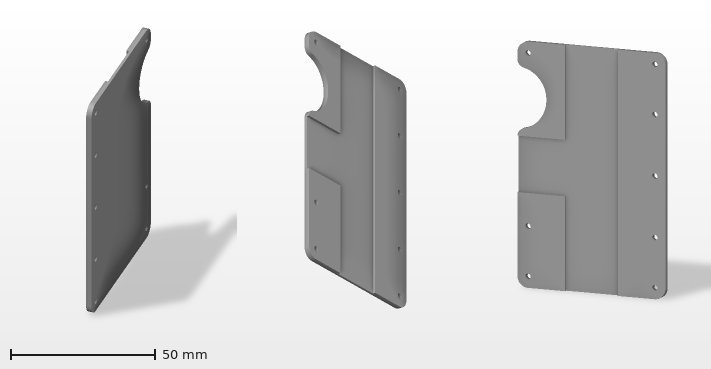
import cadquery as cq
import math

thickness = 2.0
width = 56.0
height = 87.0
corner_radius = 4.0

channel_width = 20.0
channel_depth = 1.0

scoop_radius = 11.0
scoop_center_z = 23.5
lip_radius = 3.0

hole_diameter = 2.0
hole_inset = 4.0

face_x = -thickness / 2
edge_y = width / 2
hole_y = width / 2 - hole_inset
end_hole_z = height / 2 - hole_inset
quarter_hole_z = height / 4
plain_edge_holes = [
    (-hole_y, z) for z in (-end_hole_z, -quarter_hole_z, 0, quarter_hole_z, end_hole_z)
]
scoop_edge_holes = [(hole_y, z) for z in (-end_hole_z, -quarter_hole_z, end_hole_z)]


def face_sketch():
    """Workplane on the -X face, with local x along +Y, local y along +Z and normal +X."""
    return cq.Workplane("YZ", origin=(face_x, 0, 0))


def make_plate():
    return face_sketch().rect(width, height).extrude(thickness).edges("|X").fillet(corner_radius)


def make_channels():
    """T-shaped recess: a full-height channel and a branch running out to the +Y edge."""
    main = face_sketch().rect(channel_width, height).extrude(channel_depth)
    branch = face_sketch().center(edge_y / 2, 0).rect(edge_y, channel_width).extrude(channel_depth)
    return main.union(branch)


def make_scoop():
    """Cutter bounded by the scoop arc and two lip arcs tangent to it and to the +Y edge."""
    lip_y = edge_y - lip_radius
    lip_offset = math.sqrt((scoop_radius + lip_radius) ** 2 - lip_radius**2)
    scoop_share = scoop_radius / (scoop_radius + lip_radius)
    joint_y = edge_y - lip_radius * scoop_share
    joint_offset = lip_offset * scoop_share
    half_angle = math.atan2(lip_offset, lip_radius) / 2
    mid_y = lip_y + lip_radius * math.cos(half_angle)
    mid_offset = lip_offset - lip_radius * math.sin(half_angle)
    return (
        face_sketch()
        .center(0, scoop_center_z)
        .moveTo(edge_y, lip_offset)
        .threePointArc((mid_y, mid_offset), (joint_y, joint_offset))
        .threePointArc((edge_y - scoop_radius, 0), (joint_y, -joint_offset))
        .threePointArc((mid_y, -mid_offset), (edge_y, -lip_offset))
        .close()
        .extrude(thickness)
    )


def make_holes():
    return (
        face_sketch()
        .pushPoints(plain_edge_holes + scoop_edge_holes)
        .circle(hole_diameter / 2)
        .extrude(thickness)
    )


result = make_plate().cut(make_channels()).cut(make_scoop()).cut(make_holes())